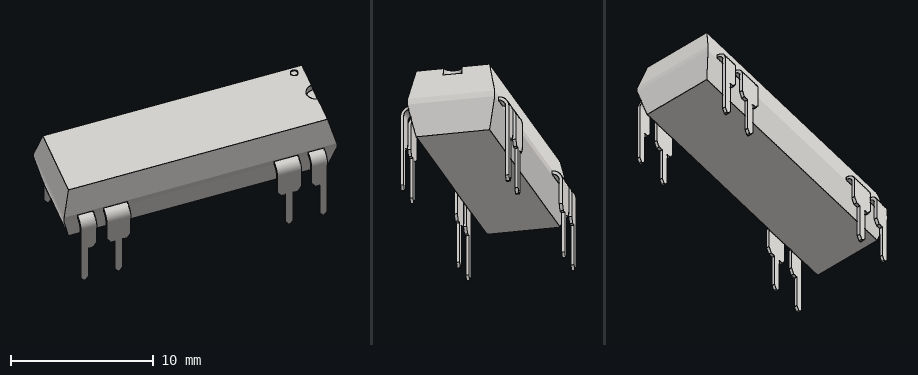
import cadquery as cq
import math

HOUSING_LENGTH = 20.32
HOUSING_WIDTH = 6.35
HOUSING_HEIGHT = 4.95
BAND_HEIGHT = 0.43
TAPER_INSET = 0.5
TAPER_HEIGHT = (HOUSING_HEIGHT - BAND_HEIGHT) / 2
TAPER_ANGLE = math.degrees(math.atan2(TAPER_INSET, TAPER_HEIGHT))

LEAD_PITCH = 2.55
OUTER_LEAD_Y = 3.5 * LEAD_PITCH
INNER_LEAD_Y = OUTER_LEAD_Y - LEAD_PITCH

OVERALL_WIDTH = 7.86
LEAD_THICKNESS = 0.25
BEND_RADIUS = (OVERALL_WIDTH - HOUSING_WIDTH) / 2
LEAD_TOP_Z = LEAD_THICKNESS / 2
LEAD_DROP = 3.68
LEAD_TIP_Z = -HOUSING_HEIGHT / 2 - LEAD_DROP
SHOULDER_HALF_WIDTH = 0.9
SHOULDER_Z = -2.85
SHOULDER_CHAMFER_WIDTH = 0.25
SHOULDER_CHAMFER_HEIGHT = 0.45
LEG_HALF_WIDTH = 0.28
TIP_HALF_WIDTH = 0.08
TIP_HEIGHT = 0.35

NOTCH_RADIUS = 0.67
NOTCH_CENTER_Y = 9.71
NOTCH_DEPTH = 0.55
DIMPLE_RADIUS = 0.26
DIMPLE_X = -2.17
DIMPLE_DEPTH = 0.1


def make_tapered_half(direction):
    """Half of the housing on one side of its mid-plane; direction is +1 (top) or -1 (bottom)."""
    half_band = BAND_HEIGHT / 2
    band = cq.Workplane("XY").rect(HOUSING_WIDTH, HOUSING_LENGTH).extrude(direction * half_band)
    taper = (
        cq.Workplane("XY", origin=(0, 0, direction * half_band))
        .rect(HOUSING_WIDTH, HOUSING_LENGTH)
        .extrude(direction * TAPER_HEIGHT, taper=TAPER_ANGLE)
    )
    return band.union(taper)


def make_top_recess(x, y, radius, depth):
    """Round cutter that sinks from the top face to the given depth."""
    return (
        cq.Workplane("XY", origin=(x, y, HOUSING_HEIGHT / 2 - depth))
        .circle(radius)
        .extrude(depth)
    )


def make_housing():
    body = make_tapered_half(1).union(make_tapered_half(-1)).clean()
    notch = make_top_recess(0, NOTCH_CENTER_Y, NOTCH_RADIUS, NOTCH_DEPTH)
    dimple = make_top_recess(DIMPLE_X, OUTER_LEAD_Y, DIMPLE_RADIUS, DIMPLE_DEPTH)
    return body.cut(notch).cut(dimple)


def make_bent_strip():
    """Strip of the +X row, bent down a quarter turn from the housing side, as wide as the widest lead."""
    inner_radius = BEND_RADIUS - LEAD_THICKNESS
    side_x = HOUSING_WIDTH / 2
    bend_z = LEAD_TOP_Z - BEND_RADIUS
    diagonal = math.sqrt(0.5)
    return (
        cq.Workplane("XZ")
        .moveTo(side_x, LEAD_TOP_Z)
        .threePointArc(
            (side_x + BEND_RADIUS * diagonal, bend_z + BEND_RADIUS * diagonal),
            (side_x + BEND_RADIUS, bend_z),
        )
        .lineTo(side_x + BEND_RADIUS, LEAD_TIP_Z)
        .lineTo(side_x + inner_radius, LEAD_TIP_Z)
        .lineTo(side_x + inner_radius, bend_z)
        .threePointArc(
            (side_x + inner_radius * diagonal, bend_z + inner_radius * diagonal),
            (side_x, bend_z + inner_radius),
        )
        .close()
        .extrude(SHOULDER_HALF_WIDTH, both=True)
    )


def make_shoulder_edge(side):
    """Edge points, top to bottom, of a lead side with a shoulder; side is +1 or -1 along Y."""
    return [
        (side * SHOULDER_HALF_WIDTH, LEAD_TOP_Z),
        (side * SHOULDER_HALF_WIDTH, SHOULDER_Z + SHOULDER_CHAMFER_HEIGHT),
        (side * (SHOULDER_HALF_WIDTH - SHOULDER_CHAMFER_WIDTH), SHOULDER_Z),
        (side * LEG_HALF_WIDTH, SHOULDER_Z),
    ]


def make_lead(has_outer_shoulder):
    """Lead of the +X row centred on Y = 0, with its inner shoulder toward -Y."""
    if has_outer_shoulder:
        outer_edge = make_shoulder_edge(1)
    else:
        outer_edge = [(LEG_HALF_WIDTH, LEAD_TOP_Z)]
    tip = [
        (LEG_HALF_WIDTH, LEAD_TIP_Z + TIP_HEIGHT),
        (TIP_HALF_WIDTH, LEAD_TIP_Z),
        (-TIP_HALF_WIDTH, LEAD_TIP_Z),
        (-LEG_HALF_WIDTH, LEAD_TIP_Z + TIP_HEIGHT),
    ]
    inner_edge = make_shoulder_edge(-1)[::-1]
    outline = (
        cq.Workplane("YZ")
        .polyline(outer_edge + tip + inner_edge)
        .close()
        .extrude(OVERALL_WIDTH / 2)
    )
    return make_bent_strip().intersect(outline)


def make_leads():
    """Both kinds of lead, mirrored to the two ends and the two rows."""
    leads = []
    for lead_y, has_outer_shoulder in ((OUTER_LEAD_Y, False), (INNER_LEAD_Y, True)):
        back_right = make_lead(has_outer_shoulder).translate((0, lead_y, 0))
        front_right = back_right.mirror("XZ")
        for lead in (back_right, front_right):
            leads.append(lead.val())
            leads.append(lead.mirror("YZ").val())
    return leads


housing = make_housing()
leads = make_leads()
result = cq.Compound.makeCompound([housing.val(), *leads])